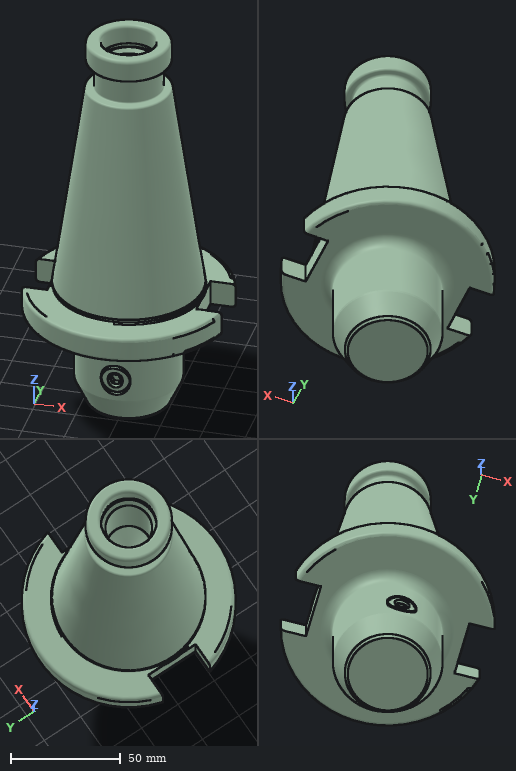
import cadquery as cq
import math

total_height = 189.8
flange_bottom = 47.8
flange_top = 60.0
taper_base = 62.3
taper_top = 165.3
head_bottom = 178.8

nose_radius = 25.0
nose_tip_radius = 19.5
nose_tip_height = 1.3
nose_cone_height = 13.0
nose_edge_radius = 2.5
nose_root_fillet = 5.3

flange_radius = 48.8
flange_edge_fillet = 1.9
key_slot_width = 25.8
key_slot_floor = 35.1

taper_base_radius = 35.1
taper_slope = 7 / 24 / 2
taper_edge_fillet = 1.1
relief_radius = 34.7
relief_root_fillet = 0.8

neck_radius = 16.0
head_radius = 19.7
head_top_fillet = 1.9
head_lower_fillet = 1.1
neck_upper_fillet = 1.3
neck_lower_fillet = 0.8

bore_radius = 12.7
bore_depth = 11.4
bore_mouth_fillet = 1.7
groove_radius = 13.5
groove_width = 2.0
thread_radius = 10.6
thread_depth = 47.5
drill_point_angle = 118.0

screw_height = 24.1
ring_outer_radius = 7.5
ring_inner_radius = 6.0
ring_depth = 1.3
socket_mouth_radius = 3.8
socket_flats = 4.5
socket_depth = 3.8


def make_body():
    """Revolve the outside of the holder about Z."""
    taper_top_radius = taper_base_radius - taper_slope * (taper_top - taper_base)
    outline = [
        (0, 0),
        (nose_tip_radius - nose_tip_height, 0),
        (nose_tip_radius, nose_tip_height),
        (nose_radius, nose_cone_height),
        (nose_radius, flange_bottom),
        (flange_radius, flange_bottom),
        (flange_radius, flange_top),
        (relief_radius, flange_top),
        (relief_radius, taper_base),
        (taper_base_radius, taper_base),
        (taper_top_radius, taper_top),
        (neck_radius, taper_top),
        (neck_radius, head_bottom),
        (head_radius, head_bottom),
        (head_radius, total_height),
        (0, total_height),
    ]
    body = cq.Workplane("XZ").polyline(outline).close().revolve(360, (0, 0, 0), (0, 1, 0))
    rounded_edges = [
        (nose_radius, nose_cone_height, nose_edge_radius),
        (nose_radius, flange_bottom, nose_root_fillet),
        (flange_radius, flange_bottom, flange_edge_fillet),
        (flange_radius, flange_top, flange_edge_fillet),
        (taper_top_radius, taper_top, taper_edge_fillet),
        (relief_radius, flange_top, relief_root_fillet),
        (neck_radius, taper_top, neck_lower_fillet),
        (neck_radius, head_bottom, neck_upper_fillet),
        (head_radius, head_bottom, head_lower_fillet),
        (head_radius, total_height, head_top_fillet),
    ]
    for radius, height, fillet in rounded_edges:
        body = round_circle(body, radius, height, fillet)
    return body


def round_circle(solid, radius, height, fillet):
    """Fillet the circular edge of the given radius at the given height."""
    tolerance = 0.02
    edges = [
        edge
        for edge in solid.edges("%CIRCLE").vals()
        if abs(edge.radius() - radius) < tolerance and abs(edge.Center().z - height) < tolerance
    ]
    return solid.newObject(edges).fillet(fillet)


def make_key_slots():
    """Two driving slots through the flange, on the +X and -X sides."""
    slot_length = flange_radius - key_slot_floor
    slot_height = flange_top - flange_bottom
    return (
        cq.Workplane("XY", origin=(0, 0, flange_bottom))
        .pushPoints([(side * (key_slot_floor + slot_length / 2), 0) for side in (-1, 1)])
        .rect(slot_length, key_slot_width)
        .extrude(slot_height)
    )


def make_drawbar_hole():
    """Pilot bore with a floor groove, 45 degree countersink and thread hole with a drill point."""
    bore_floor = total_height - bore_depth
    thread_start = bore_floor - (bore_radius - thread_radius)
    thread_end = total_height - thread_depth
    drill_tip = thread_end - thread_radius / math.tan(math.radians(drill_point_angle / 2))
    outline = [
        (0, total_height),
        (bore_radius, total_height),
        (bore_radius, bore_floor + groove_width),
        (groove_radius, bore_floor + groove_width),
        (groove_radius, bore_floor),
        (bore_radius, bore_floor),
        (thread_radius, thread_start),
        (thread_radius, thread_end),
        (0, drill_tip),
    ]
    return cq.Workplane("XZ").polyline(outline).close().revolve(360, (0, 0, 0), (0, 1, 0))


def make_screw_recess():
    """V-shaped ring around the screw and its countersunk hexagon socket."""
    ring_mid_radius = (ring_outer_radius + ring_inner_radius) / 2
    ring_outline = [
        (ring_inner_radius, -nose_radius),
        (ring_mid_radius, ring_depth - nose_radius),
        (ring_outer_radius, -nose_radius),
    ]
    socket_corner_radius = socket_flats / math.sqrt(3)
    mouth_depth = socket_mouth_radius - socket_corner_radius
    mouth_outline = [
        (0, -nose_radius),
        (socket_mouth_radius, -nose_radius),
        (socket_corner_radius, mouth_depth - nose_radius),
        (0, mouth_depth - nose_radius),
    ]
    ring = cq.Workplane("XY").polyline(ring_outline).close().revolve(360, (0, 0, 0), (0, 1, 0))
    mouth = cq.Workplane("XY").polyline(mouth_outline).close().revolve(360, (0, 0, 0), (0, 1, 0))
    socket = (
        cq.Workplane("XZ", origin=(0, -nose_radius, 0))
        .polygon(6, 2 * socket_corner_radius)
        .extrude(-socket_depth)
    )
    return ring.union(mouth).union(socket).translate((0, 0, screw_height))


result = make_body().cut(make_key_slots()).cut(make_drawbar_hole())
result = round_circle(result, bore_radius, total_height, bore_mouth_fillet)
result = result.cut(make_screw_recess())